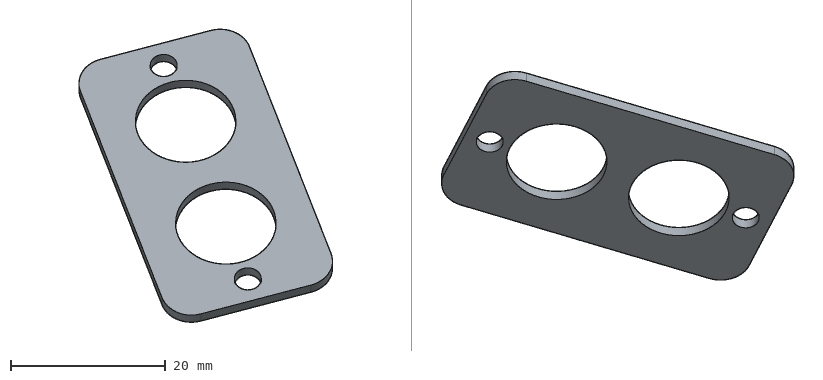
import cadquery as cq

length = 42.5
width = 23.0
thickness = 1.6
corner_radius = 4.0

opening_diameter = 13.0
opening_spacing = 17.0

mount_diameter = 3.5
mount_spacing = 35.6


def hole_pair(body, diameter, spacing):
    """Drill two through holes placed symmetrically along X."""
    centers = [(-spacing / 2, 0), (spacing / 2, 0)]
    return body.faces(">Z").workplane(origin=(0, 0, 0)).pushPoints(centers).hole(diameter)


plate = cq.Workplane("XY").box(length, width, thickness).edges("|Z").fillet(corner_radius)
plate = hole_pair(plate, opening_diameter, opening_spacing)
result = hole_pair(plate, mount_diameter, mount_spacing)